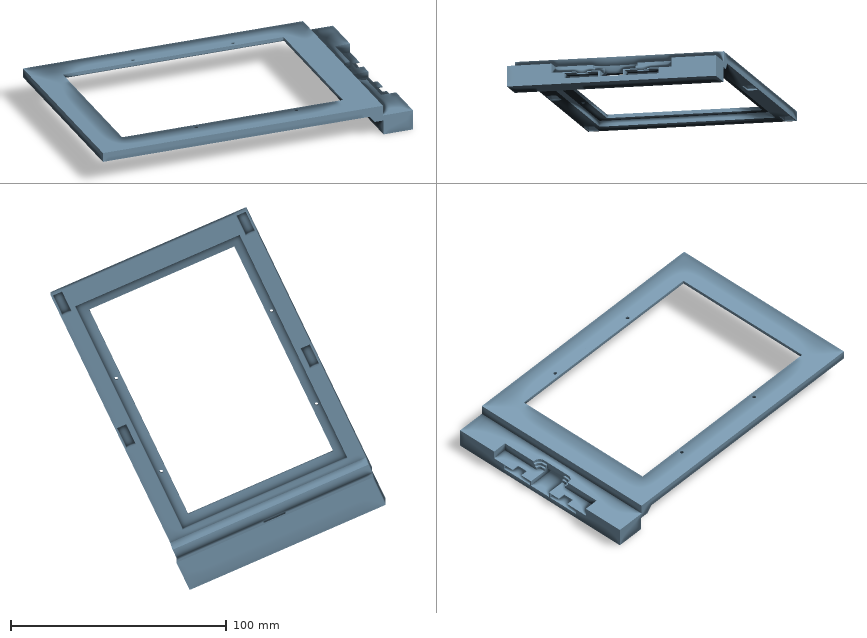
import cadquery as cq

width = 100.0
length = 155.0
height = 14.7

plate_bottom = 10.2
block_length = 14.7
block_top = 9.8
step_position = 15.0
ledge_bottom = 7.1
bevel_start = 19.0
bevel_end = 21.7

window_width = 74.2
window_length = 110.4
front_bar = 14.7
rim_thickness = 1.7
rim_overhang = 5.0

hole_diameter = 1.7
hole_span_x = 79.2
hole_span_y = 50.0
first_hole_position = 54.2

rail_pocket_width = 5.0
rail_pocket_length = 10.8
rail_pocket_skin = 0.5
rail_pocket_wall = 0.6
middle_pocket_position = length / 2
front_pocket_position = length - rail_pocket_wall - rail_pocket_length / 2

pocket_width = 57.4
pocket_depth = 7.5
pocket_floor = 5.5
bay_width = 21.4
bay_depth = 11.2
bay_corner_diameter = 6.2
bay_ledge = 1.0
bay_ledge_count = 2

deep_floor = 2.6
channel_width = 11.2
channel_roof = 6.0
notch_width = 5.5
notch_depth = 3.7
notch_offset = 14.4
cavity_width = 16.1
cavity_skin = 0.5


def box(x_size, y_size, bottom, top, x_center, y_center):
    """Upright box between two heights, centred on a point in plan."""
    return (
        cq.Workplane("XY", origin=(x_center, y_center, bottom))
        .rect(x_size, y_size)
        .extrude(top - bottom)
    )


def recess(x_size, y_size, floor, x_center=0.0):
    """Box open to the connector end and to the top, down to the given floor."""
    return box(x_size, y_size, floor, block_top, x_center, -y_size / 2)


def make_body():
    """Side profile of block and plate, extruded across the width."""
    profile = [
        (0, 0),
        (0, block_top),
        (-step_position, block_top),
        (-step_position, height),
        (-length, height),
        (-length, plate_bottom),
        (-bevel_end, plate_bottom),
        (-bevel_start, ledge_bottom),
        (-block_length, ledge_bottom),
        (-block_length, 0),
    ]
    return cq.Workplane("YZ").polyline(profile).close().extrude(width / 2, both=True)


def cut_window(body):
    """Window through the plate and the wider recess that thins its rim from below."""
    y_center = front_bar + window_length / 2 - length
    rim_bottom = height - rim_thickness
    opening = box(window_width, window_length, plate_bottom, height, 0, y_center)
    under_recess = box(
        window_width + 2 * rim_overhang,
        window_length + 2 * rim_overhang,
        plate_bottom,
        rim_bottom,
        0,
        y_center,
    )
    return body.cut(opening).cut(under_recess)


def cut_screw_holes(body):
    """Four through holes, two in each side rail."""
    holes = (
        cq.Workplane("XY", origin=(0, -first_hole_position - hole_span_y / 2, 0))
        .rect(hole_span_x, hole_span_y, forConstruction=True)
        .vertices()
        .circle(hole_diameter / 2)
        .extrude(height)
    )
    return body.cut(holes)


def cut_rail_pockets(body):
    """Two pockets open to the underside of each rail."""
    x_center = (width - rail_pocket_width) / 2 - rail_pocket_wall
    top = height - rail_pocket_skin
    for side in (-1, 1):
        for position in (middle_pocket_position, front_pocket_position):
            pocket = box(
                rail_pocket_width, rail_pocket_length, plate_bottom, top, side * x_center, -position
            )
            body = body.cut(pocket)
    return body


def cut_connector_pocket(body):
    """Wide shallow pocket, stepped bay, channel, notches with their cavities, and slot."""
    body = body.cut(recess(pocket_width, pocket_depth, pocket_floor))
    ledge_drop = (block_top - pocket_floor) / (bay_ledge_count + 1)
    for step in range(bay_ledge_count + 1):
        inset = step * bay_ledge
        bay = recess(
            bay_width - 2 * inset, bay_depth - inset, block_top - (step + 1) * ledge_drop
        )
        bay = bay.edges("|Z and <Y").fillet(bay_corner_diameter / 2 - inset)
        body = body.cut(bay)
    body = body.cut(recess(channel_width, bay_depth, deep_floor))
    for side in (-1, 1):
        x_center = side * notch_offset
        body = body.cut(recess(notch_width, notch_depth, deep_floor, x_center))
        cavity_top = pocket_floor - cavity_skin
        cavity = box(cavity_width, pocket_depth, deep_floor, cavity_top, x_center, -pocket_depth / 2)
        body = body.cut(cavity)
    slot = box(channel_width, block_length, deep_floor, channel_roof, 0, -block_length / 2)
    return body.cut(slot)


body = make_body()
body = cut_window(body)
body = cut_screw_holes(body)
body = cut_rail_pockets(body)
result = cut_connector_pocket(body)